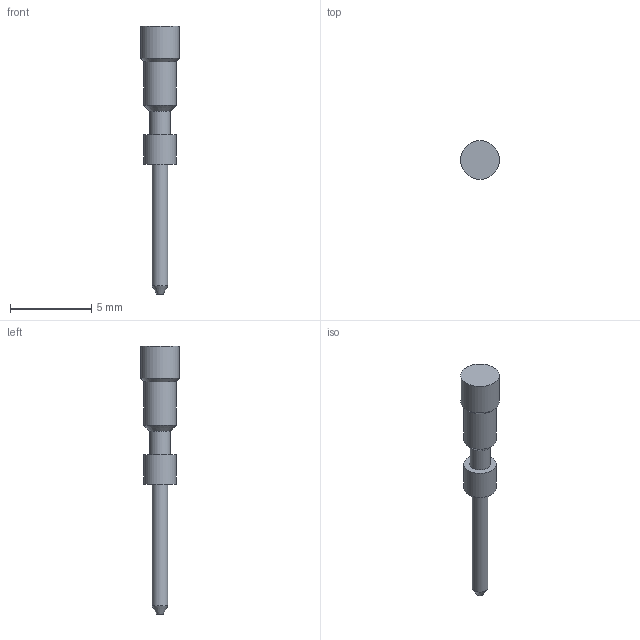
import cadquery as cq

head_diameter = 2.4
body_diameter = 2.0
neck_diameter = 1.25
pin_diameter = 0.98
tip_diameter = 0.4

total_length = 16.5
tip_length = 0.5
pin_length = 8.0
collar_length = 1.8
neck_length = 1.45
head_length = 2.0

body_taper = (body_diameter - neck_diameter) / 2
head_taper = (head_diameter - body_diameter) / 2

collar_top = pin_length + collar_length
neck_top = collar_top + neck_length
body_bottom = neck_top + body_taper
head_bottom = total_length - head_length
body_top = head_bottom - head_taper


def half_profile():
    """Closed half section in the XZ plane, bounded by the Z axis."""
    return (
        cq.Workplane("XZ")
        .moveTo(0, 0)
        .lineTo(tip_diameter / 2, 0)
        .lineTo(pin_diameter / 2, tip_length)
        .lineTo(pin_diameter / 2, pin_length)
        .lineTo(body_diameter / 2, pin_length)
        .lineTo(body_diameter / 2, collar_top)
        .lineTo(neck_diameter / 2, collar_top)
        .lineTo(neck_diameter / 2, neck_top)
        .lineTo(body_diameter / 2, body_bottom)
        .lineTo(body_diameter / 2, body_top)
        .lineTo(head_diameter / 2, head_bottom)
        .lineTo(head_diameter / 2, total_length)
        .lineTo(0, total_length)
        .close()
    )


result = half_profile().revolve(360, (0, 0, 0), (0, 1, 0))